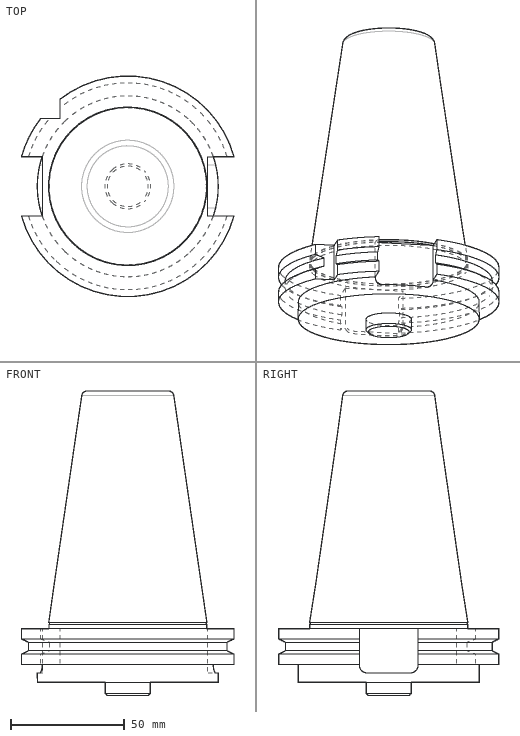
import cadquery as cq


gauge_diameter = 69.85
taper_ratio = 7 / 24
shank_length = 101.75
shank_tip_fillet = 2.5

relief_diameter = 69.4
relief_top = -0.6
relief_bottom = -1.5

flange_diameter = 97.5
flange_top = -3.2
flange_thickness = 15.9
flange_bottom = flange_top - flange_thickness

groove_floor_diameter = 91.5
groove_mouth_width = 6.7
groove_floor_width = 3.7
groove_middle = (flange_top + flange_bottom) / 2

base_diameter = 80
base_thickness = 7.9
base_bottom = flange_bottom - base_thickness
pin_diameter = 20
pin_bottom = -32.85
pin_chamfer = 1.0

slot_width = 26
slot_depth = 19.6
slot_corner_radius = 3.5
left_slot_floor = 37.7
right_slot_floor = 35.3

notch_offset = 30


def make_body():
    """Turned body: pin, base disc, grooved flange, neck and taper."""
    tip_radius = (gauge_diameter - taper_ratio * shank_length) / 2
    taper_end_radius = (gauge_diameter - taper_ratio * relief_top) / 2
    flange_radius = flange_diameter / 2
    groove_floor_radius = groove_floor_diameter / 2
    mouth_half = groove_mouth_width / 2
    floor_half = groove_floor_width / 2
    neck_radius = gauge_diameter / 2
    relief_radius = relief_diameter / 2
    profile = (
        cq.Workplane("XZ")
        .moveTo(0, pin_bottom)
        .lineTo(pin_diameter / 2, pin_bottom)
        .lineTo(pin_diameter / 2, base_bottom)
        .lineTo(base_diameter / 2, base_bottom)
        .lineTo(base_diameter / 2, flange_bottom)
        .lineTo(flange_radius, flange_bottom)
        .lineTo(flange_radius, groove_middle - mouth_half)
        .lineTo(groove_floor_radius, groove_middle - floor_half)
        .lineTo(groove_floor_radius, groove_middle + floor_half)
        .lineTo(flange_radius, groove_middle + mouth_half)
        .lineTo(flange_radius, flange_top)
        .lineTo(neck_radius, flange_top)
        .lineTo(neck_radius, relief_bottom)
        .lineTo(relief_radius, relief_bottom)
        .lineTo(relief_radius, relief_top)
        .lineTo(taper_end_radius, relief_top)
        .lineTo(tip_radius, shank_length)
        .lineTo(0, shank_length)
        .close()
    )
    body = profile.revolve(360, (0, 0, 0), (0, 1, 0))
    body = body.faces(">Z").edges().fillet(shank_tip_fillet)
    return body.faces("<Z").edges().chamfer(pin_chamfer)


def make_slot_cutter(side, floor_distance):
    """Drive slot open at the top and outside, with rounded lower corners; side is -1 or +1."""
    length = flange_diameter / 2
    cutter = cq.Workplane("XY").box(length, slot_width, slot_depth)
    cutter = cutter.edges("|X and <Z").fillet(slot_corner_radius)
    return cutter.translate((side * (floor_distance + length / 2), 0, flange_top - slot_depth / 2))


def make_notch_cutter():
    """Square-cornered notch through the full flange thickness."""
    size = flange_diameter / 2
    center = notch_offset + size / 2
    cutter = cq.Workplane("XY").box(size, size, flange_thickness)
    return cutter.translate((-center, center, flange_top - flange_thickness / 2))


result = (
    make_body()
    .cut(make_slot_cutter(-1, left_slot_floor))
    .cut(make_slot_cutter(1, right_slot_floor))
    .cut(make_notch_cutter())
)